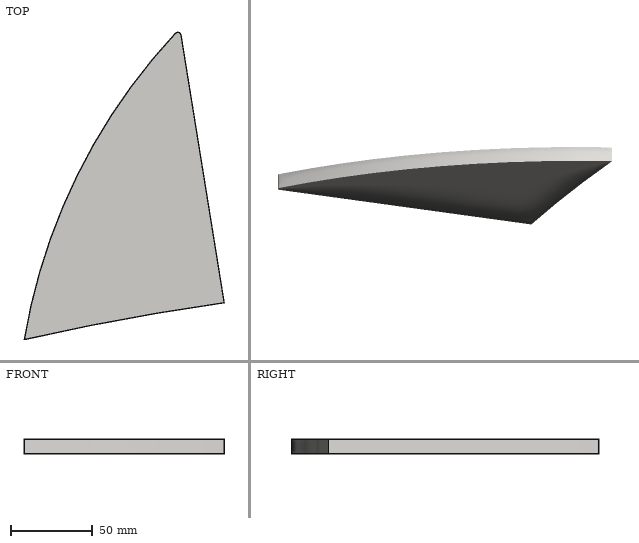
import cadquery as cq

thickness = 9.0
tip_radius = 2.0
right_corner = (123.2, 22.7)
apex = (96.0, 191.7)
outer_arc_middle = (32.7, 101.5)
base_rise = 1.3

base_arc_middle = (right_corner[0] / 2, right_corner[1] / 2 + base_rise)

plate = (
    cq.Workplane("XY")
    .threePointArc(base_arc_middle, right_corner)
    .lineTo(*apex)
    .threePointArc(outer_arc_middle, (0, 0))
    .close()
    .extrude(thickness)
)

result = plate.edges("|Z").edges(">Y").fillet(tip_radius)